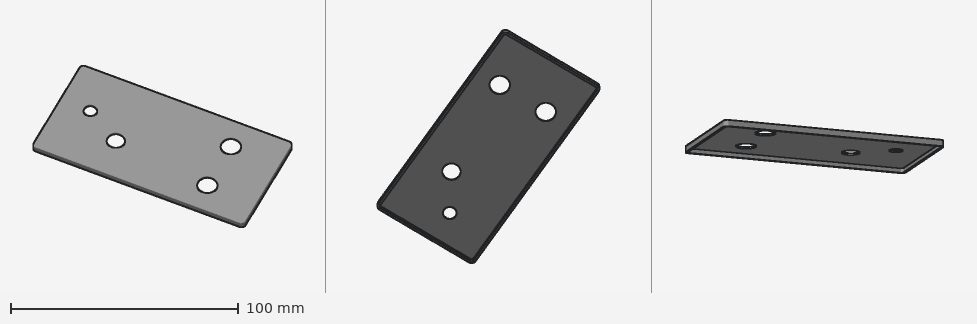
import cadquery as cq

LENGTH = 103.0
WIDTH = 51.0
HEIGHT = 3.0
CORNER_RADIUS = 2.1
EDGE_ROUND = 0.5
WALL = 1.0
CAVITY_HEIGHT = HEIGHT - WALL

SMALL_HOLE = (-36.8, 3.7, 6.0)
MIDDLE_HOLE = (-19.5, -6.7, 8.0)
LARGE_HOLE_X = 27.5
LARGE_HOLE_YS = (12.0, -12.0)
LARGE_HOLE_DIAMETER = 9.0
LARGE_HOLES = [(LARGE_HOLE_X, y, LARGE_HOLE_DIAMETER) for y in LARGE_HOLE_YS]
HOLES = [SMALL_HOLE, MIDDLE_HOLE, *LARGE_HOLES]


def rounded_slab(length, width, height, corner_radius):
    """Rectangular slab standing on Z = 0 with rounded vertical corners."""
    slab = cq.Workplane("XY").box(length, width, height, centered=(True, True, False))
    return slab.edges("|Z").fillet(corner_radius)


def make_cover():
    """Tray with its holes, rounded along every edge of the top face."""
    cover = rounded_slab(LENGTH, WIDTH, HEIGHT, CORNER_RADIUS)
    for x, y, diameter in HOLES:
        bore = cq.Workplane("XY").center(x, y).circle(diameter / 2).extrude(HEIGHT)
        cover = cover.cut(bore)
    cover = cover.faces(">Z").edges().fillet(EDGE_ROUND)
    cavity = rounded_slab(LENGTH - 2 * WALL, WIDTH - 2 * WALL, CAVITY_HEIGHT, CORNER_RADIUS - WALL)
    return cover.cut(cavity)


cover = make_cover()
result = cq.Compound.makeCompound([cover.val()])